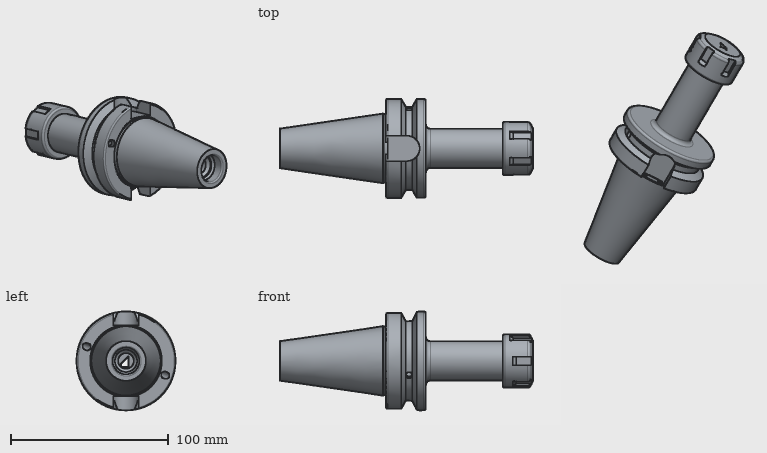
import cadquery as cq
import math


OVERALL_LENGTH = 160.6
CUT_MARGIN = 1.6

TAPER_LENGTH = 65.4
TAPER_LARGE_RADIUS = 22.2
TAPER_RATIO = 7 / 24
TAPER_SMALL_RADIUS = TAPER_LARGE_RADIUS - TAPER_LENGTH * TAPER_RATIO / 2
RELIEF_RADIUS = 21.8
RELIEF_RUN_OUT = 0.5
RELIEF_FACE_RADIUS = 22.8
RELIEF_END_X = 68.3

FLANGE_START_X = 67.3
FLANGE_END_X = 92.7
FLANGE_RADIUS = 31.5
FLANGE_BACK_FILLET = 1.0
FLANGE_FRONT_FILLET = 1.6
GROOVE_RADIUS = 26.5
GROOVE_FLOOR_WIDTH = 4.2
GROOVE_CENTER_X = 81.9
GROOVE_FLANK_ANGLE = math.radians(30)
GROOVE_FLANK_RUN = (FLANGE_RADIUS - GROOVE_RADIUS) * math.tan(GROOVE_FLANK_ANGLE)

DRIVE_SLOT_WIDTH = 16.0
DRIVE_SLOT_FLOOR = 22.5
DRIVE_SLOT_END_X = 88.7

COOLANT_ANGLES = (20, 200)
COOLANT_MOUTH_RADIUS = 26.5
COOLANT_DIAMETER = 4.5
COOLANT_TILT = math.radians(35)
COOLANT_DEPTH = 16.0
PLUG_DIAMETER = 4.2
PLUG_DEPTH = 3.2
PLUG_POINT_ANGLE = math.radians(30)

STEM_RADIUS = 12.5
STEM_FILLET = 2.7

MOUTH_FILLET = 1.0
COUNTERBORE_RADIUS = 8.5
COUNTERBORE_DEPTH = 6.7
PILOT_RADIUS = 7.0
PILOT_END_X = 9.2
BORE_RADIUS = 5.0
BORE_CONE_ANGLE = math.radians(45)
BORE_CONE_RUN = (PILOT_RADIUS - BORE_RADIUS) / math.tan(BORE_CONE_ANGLE)

NUT_START_X = 141.3
NUT_RADIUS = 17.0
NUT_BACK_FILLET = 1.3
NUT_WALL = 4.8
NUT_SOCKET_END_X = OVERALL_LENGTH - NUT_WALL
NOSE_START_X = 157.0
NOSE_FACE_RADIUS = 12.7
NOSE_FILLET = 2.2
NOSE_ANGLE = math.radians(60)

WRENCH_SLOT_COUNT = 6
WRENCH_SLOT_WIDTH = 5.5
WRENCH_SLOT_FLOOR = 15.1
WRENCH_SLOT_RAMP = 2.4
LONG_SLOT_START_X = 145.7
SHORT_SLOT_START_X = 147.6

OPENING_LEFT_Y = 3.0
OPENING_RIGHT_Y = -1.5
OPENING_BOTTOM_Z = -3.9
OPENING_LEFT_TOP_Z = -1.8
OPENING_RIGHT_TOP_Z = 2.7


def revolve_about_x(sketch):
    """Turn a closed (x, radius) outline drawn on the XY plane around the X axis."""
    return sketch.revolve(360, (0, 0, 0), (1, 0, 0))


def cylinder_along_x(radius, start_x, end_x):
    return cq.Workplane("YZ", origin=(start_x, 0, 0)).circle(radius).extrude(end_x - start_x)


def make_holder_blank():
    groove_floor_start = GROOVE_CENTER_X - GROOVE_FLOOR_WIDTH / 2
    groove_floor_end = GROOVE_CENTER_X + GROOVE_FLOOR_WIDTH / 2
    fillet_middle = STEM_FILLET * (1 - math.sqrt(0.5))
    outline = (
        cq.Workplane("XY")
        .lineTo(0, TAPER_SMALL_RADIUS)
        .lineTo(TAPER_LENGTH, TAPER_LARGE_RADIUS)
        .lineTo(TAPER_LENGTH + RELIEF_RUN_OUT, RELIEF_RADIUS)
        .lineTo(RELIEF_END_X, RELIEF_RADIUS)
        .lineTo(RELIEF_END_X, RELIEF_FACE_RADIUS)
        .lineTo(FLANGE_START_X, RELIEF_FACE_RADIUS)
        .lineTo(FLANGE_START_X, FLANGE_RADIUS - FLANGE_BACK_FILLET)
        .radiusArc((FLANGE_START_X + FLANGE_BACK_FILLET, FLANGE_RADIUS), FLANGE_BACK_FILLET)
        .lineTo(groove_floor_start - GROOVE_FLANK_RUN, FLANGE_RADIUS)
        .lineTo(groove_floor_start, GROOVE_RADIUS)
        .lineTo(groove_floor_end, GROOVE_RADIUS)
        .lineTo(groove_floor_end + GROOVE_FLANK_RUN, FLANGE_RADIUS)
        .lineTo(FLANGE_END_X - FLANGE_FRONT_FILLET, FLANGE_RADIUS)
        .radiusArc((FLANGE_END_X, FLANGE_RADIUS - FLANGE_FRONT_FILLET), FLANGE_FRONT_FILLET)
        .lineTo(FLANGE_END_X, STEM_RADIUS + STEM_FILLET)
        .threePointArc(
            (FLANGE_END_X + fillet_middle, STEM_RADIUS + fillet_middle),
            (FLANGE_END_X + STEM_FILLET, STEM_RADIUS),
        )
        .lineTo(NUT_SOCKET_END_X, STEM_RADIUS)
        .lineTo(NUT_SOCKET_END_X, 0)
        .close()
    )
    return revolve_about_x(outline)


def make_stepped_bore():
    mouth_middle = MOUTH_FILLET * (1 - math.sqrt(0.5))
    step_chamfer = COUNTERBORE_RADIUS - PILOT_RADIUS
    outline = (
        cq.Workplane("XY")
        .lineTo(0, COUNTERBORE_RADIUS + MOUTH_FILLET)
        .threePointArc(
            (mouth_middle, COUNTERBORE_RADIUS + mouth_middle),
            (MOUTH_FILLET, COUNTERBORE_RADIUS),
        )
        .lineTo(COUNTERBORE_DEPTH, COUNTERBORE_RADIUS)
        .lineTo(COUNTERBORE_DEPTH + step_chamfer, PILOT_RADIUS)
        .lineTo(PILOT_END_X, PILOT_RADIUS)
        .lineTo(PILOT_END_X + BORE_CONE_RUN, BORE_RADIUS)
        .lineTo(NUT_SOCKET_END_X, BORE_RADIUS)
        .lineTo(NUT_SOCKET_END_X, 0)
        .close()
    )
    return revolve_about_x(outline)


def make_drive_slot():
    """Cutter for the slot on the +Z side."""
    half_width = DRIVE_SLOT_WIDTH / 2
    start_x = FLANGE_START_X - CUT_MARGIN
    arc_center_x = DRIVE_SLOT_END_X - half_width
    return (
        cq.Workplane("XY", origin=(0, 0, DRIVE_SLOT_FLOOR))
        .moveTo(start_x, -half_width)
        .lineTo(arc_center_x, -half_width)
        .threePointArc((DRIVE_SLOT_END_X, 0), (arc_center_x, half_width))
        .lineTo(start_x, half_width)
        .close()
        .extrude(FLANGE_RADIUS - DRIVE_SLOT_FLOOR + CUT_MARGIN)
    )


def make_coolant_hole():
    """Cutter on the +Y side: a blind hole from the flange face, slanting toward the axis."""
    direction = cq.Vector(math.cos(COOLANT_TILT), -math.sin(COOLANT_TILT), 0)
    mouth = cq.Vector(FLANGE_START_X, COOLANT_MOUTH_RADIUS, 0)
    hole = cq.Solid.makeCylinder(
        COOLANT_DIAMETER / 2,
        COOLANT_DEPTH + 2 * CUT_MARGIN,
        mouth - direction * (2 * CUT_MARGIN),
        direction,
    )
    return cq.Workplane(hole)


def make_plug_hole():
    """Cutter on the +Y side: a blind radial hole with a drill point in the groove floor."""
    radius = PLUG_DIAMETER / 2
    point_length = radius * math.tan(PLUG_POINT_ANGLE)
    bottom_y = GROOVE_RADIUS - PLUG_DEPTH
    outline = (
        cq.Workplane("XY", origin=(GROOVE_CENTER_X, 0, 0))
        .moveTo(0, bottom_y - point_length)
        .lineTo(radius, bottom_y)
        .lineTo(radius, GROOVE_RADIUS + CUT_MARGIN)
        .lineTo(0, GROOVE_RADIUS + CUT_MARGIN)
        .close()
    )
    return outline.revolve(360, (0, 0, 0), (0, 1, 0))


def turn_about_x(shape, angle):
    return shape.rotate((0, 0, 0), (1, 0, 0), angle)


def make_holder():
    holder = make_holder_blank().cut(make_stepped_bore())
    for angle in (0, 180):
        holder = holder.cut(turn_about_x(make_drive_slot(), angle))
    for angle in COOLANT_ANGLES:
        holder = holder.cut(turn_about_x(make_coolant_hole(), angle))
        holder = holder.cut(turn_about_x(make_plug_hole(), angle))
    return holder


def make_nut_blank():
    """Nut outline with a rounded back edge and a rounded shoulder running into the nose cone."""
    arc_end_x = NOSE_START_X + NOSE_FILLET * math.sin(NOSE_ANGLE)
    arc_end_radius = NUT_RADIUS - NOSE_FILLET * (1 - math.cos(NOSE_ANGLE))
    outline = (
        cq.Workplane("XY")
        .moveTo(NUT_START_X, 0)
        .lineTo(NUT_START_X, NUT_RADIUS - NUT_BACK_FILLET)
        .radiusArc((NUT_START_X + NUT_BACK_FILLET, NUT_RADIUS), NUT_BACK_FILLET)
        .lineTo(NOSE_START_X, NUT_RADIUS)
        .radiusArc((arc_end_x, arc_end_radius), NOSE_FILLET)
        .lineTo(OVERALL_LENGTH, NOSE_FACE_RADIUS)
        .lineTo(OVERALL_LENGTH, 0)
        .close()
    )
    return revolve_about_x(outline)


def make_wrench_slot(start_x):
    """Cutter for a slot on the -Y side, open at the nose."""
    top = NUT_RADIUS + CUT_MARGIN
    ramp_slope = WRENCH_SLOT_RAMP / (NUT_RADIUS - WRENCH_SLOT_FLOOR)
    return (
        cq.Workplane("XY", origin=(0, 0, -WRENCH_SLOT_WIDTH / 2))
        .moveTo(start_x - ramp_slope * CUT_MARGIN, -top)
        .lineTo(start_x + WRENCH_SLOT_RAMP, -WRENCH_SLOT_FLOOR)
        .lineTo(OVERALL_LENGTH + CUT_MARGIN, -WRENCH_SLOT_FLOOR)
        .lineTo(OVERALL_LENGTH + CUT_MARGIN, -top)
        .close()
        .extrude(WRENCH_SLOT_WIDTH)
    )


def make_nut_opening():
    corners = [
        (OPENING_LEFT_Y, OPENING_BOTTOM_Z),
        (OPENING_LEFT_Y, OPENING_LEFT_TOP_Z),
        (OPENING_RIGHT_Y, OPENING_RIGHT_TOP_Z),
        (OPENING_RIGHT_Y, OPENING_BOTTOM_Z),
    ]
    plane = cq.Workplane("YZ", origin=(NUT_SOCKET_END_X - CUT_MARGIN, 0, 0))
    return plane.polyline(corners).close().extrude(NUT_WALL + 2 * CUT_MARGIN)


def make_nut():
    nut = make_nut_blank().cut(cylinder_along_x(STEM_RADIUS, NUT_START_X, NUT_SOCKET_END_X))
    for index in range(WRENCH_SLOT_COUNT):
        angle = -360 / WRENCH_SLOT_COUNT * index
        start_x = LONG_SLOT_START_X if index in (1, 2, 3) else SHORT_SLOT_START_X
        nut = nut.cut(turn_about_x(make_wrench_slot(start_x), angle))
    return nut.cut(make_nut_opening())


holder = make_holder()
nut = make_nut()
result = cq.Compound.makeCompound([holder.val(), nut.val()])